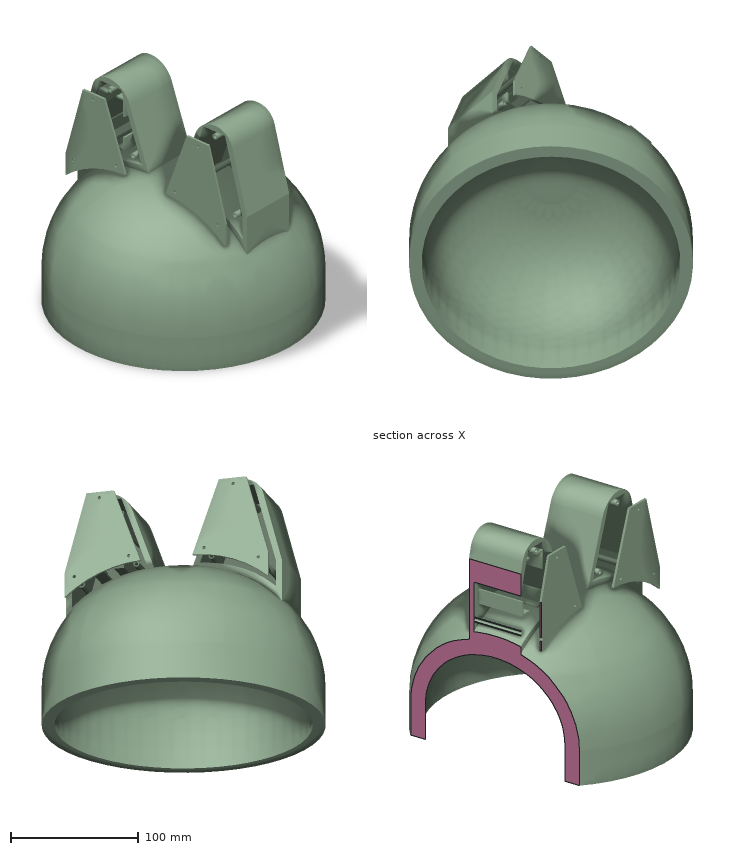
import cadquery as cq
import math

helmet_radius = 111.5
helmet_height = 120.0
band_height = 30.0
helmet_wall = 10.0
dome_radius = helmet_height - band_height

ear_top = 190.0
ear_depth = 50.0
ear_front_y = -ear_depth / 2
ear_outer_x = 88.8
ear_inner_x = 14.7
ear_outer_lean = 15.0
ear_inner_lean = 19.8
ear_outer_round = 17.2
ear_inner_round = 22.7
ear_back_wall = 5.0
pocket_floor = 5.1

panel_top = 184.9
panel_top_inner_x = 43.3
panel_top_outer_x = 65.8
panel_outer_x = 83.8
panel_shoulder_z = 120.0
panel_inner_x = 21.5
panel_inner_z = 124.5

cover_thickness = 2.0
cover_gap = 18.0
cover_front_y = ear_front_y - cover_gap - cover_thickness
cover_outer_z = 100.1
cover_arc_x = 55.0
cover_arc_z = 117.5

screw_places = [(55.0, 180.0), (31.0, 129.1), (75.8, 116.6)]
screw_hole_diameter = 2.7
post_diameter = 5.0

holder_center_x = -56.0
holder_width = 25.0
holder_bottom = 129.5
holder_top = 174.0
holder_recess = 2.7
bracket_wall = 1.5
lower_leg = 11.0
upper_leg = 14.7
outer_flange = 8.3
inner_flange = 6.7


def extrude_back(profile, front_y, depth):
    """Extrude an XZ profile toward +Y, starting at front_y."""
    return profile.extrude(-depth).translate((0, front_y, 0))


def make_dome(growth):
    """Solid helmet form with its outer surface moved outward by growth."""
    radius = helmet_radius + growth
    height = helmet_height + growth
    round_radius = dome_radius + growth
    crown_radius = radius - round_radius
    diagonal = round_radius * math.sqrt(0.5)
    return (
        cq.Workplane("XZ")
        .lineTo(radius, 0)
        .lineTo(radius, band_height)
        .threePointArc((crown_radius + diagonal, band_height + diagonal), (crown_radius, height))
        .lineTo(0, height)
        .close()
        .revolve(360, (0, 0), (0, 1))
    )


def screw_cylinders(side, diameter, front_y, depth):
    places = [(side * x, z) for x, z in screw_places]
    return extrude_back(cq.Workplane("XZ").pushPoints(places).circle(diameter / 2), front_y, depth)


def panel_sides(side):
    """Panel outline from the lower inner corner, over the top, to the outer shoulder."""
    return (
        cq.Workplane("XZ")
        .moveTo(side * panel_inner_x, panel_inner_z)
        .lineTo(side * panel_top_inner_x, panel_top)
        .lineTo(side * panel_top_outer_x, panel_top)
        .lineTo(side * panel_outer_x, panel_shoulder_z)
    )


def make_cover(side):
    outline = (
        panel_sides(side)
        .lineTo(side * panel_outer_x, cover_outer_z)
        .threePointArc((side * cover_arc_x, cover_arc_z), (side * panel_inner_x, panel_inner_z))
        .close()
    )
    cover = extrude_back(outline, cover_front_y, cover_thickness)
    return cover.cut(screw_cylinders(side, screw_hole_diameter, cover_front_y, cover_thickness))


def make_ear_block(side):
    rise = ear_top - helmet_height
    top_outer_x = ear_outer_x - rise * math.tan(math.radians(ear_outer_lean))
    top_inner_x = ear_inner_x + rise * math.tan(math.radians(ear_inner_lean))
    outline = (
        cq.Workplane("XZ")
        .moveTo(side * ear_outer_x, band_height)
        .lineTo(side * ear_outer_x, helmet_height)
        .lineTo(side * top_outer_x, ear_top)
        .lineTo(side * top_inner_x, ear_top)
        .lineTo(side * ear_inner_x, helmet_height)
        .lineTo(side * ear_inner_x, band_height)
        .close()
    )
    block = extrude_back(outline, ear_front_y, ear_depth)
    outer_edge = cq.NearestToPointSelector((side * top_outer_x, 0, ear_top))
    inner_edge = cq.NearestToPointSelector((side * top_inner_x, 0, ear_top))
    return block.edges(outer_edge).fillet(ear_outer_round).edges(inner_edge).fillet(ear_inner_round)


def make_pocket(side):
    """Space inside an ear, open at the front, with a floor that follows the dome."""
    outline = (
        panel_sides(side)
        .lineTo(side * panel_outer_x, band_height)
        .lineTo(side * panel_inner_x, band_height)
        .close()
    )
    pocket = extrude_back(outline, ear_front_y, ear_depth - ear_back_wall)
    return pocket.cut(make_dome(pocket_floor))


def make_ear(side):
    post_length = ear_depth - ear_back_wall
    ear = make_ear_block(side).cut(make_pocket(side))
    ear = ear.union(screw_cylinders(side, post_diameter, ear_front_y, post_length))
    return ear.cut(screw_cylinders(side, screw_hole_diameter, ear_front_y, post_length))


def make_bracket(corner_x, corner_z, flange, leg):
    """L-shaped bracket around one corner of the holder; flange and leg are signed inner lengths."""
    wall_x = math.copysign(bracket_wall, flange)
    wall_z = math.copysign(bracket_wall, leg)
    outline = (
        cq.Workplane("XZ")
        .moveTo(corner_x - wall_x, corner_z - wall_z)
        .lineTo(corner_x + flange, corner_z - wall_z)
        .lineTo(corner_x + flange, corner_z)
        .lineTo(corner_x, corner_z)
        .lineTo(corner_x, corner_z + leg)
        .lineTo(corner_x - wall_x, corner_z + leg)
        .close()
    )
    return extrude_back(outline, ear_front_y + holder_recess, ear_depth - ear_back_wall - holder_recess)


def make_holder_brackets():
    outer_x = holder_center_x - holder_width / 2
    inner_x = holder_center_x + holder_width / 2
    return [
        make_bracket(outer_x, holder_bottom, outer_flange, lower_leg),
        make_bracket(inner_x, holder_bottom, -inner_flange, lower_leg),
        make_bracket(outer_x, holder_top, outer_flange, -upper_leg),
        make_bracket(inner_x, holder_top, -inner_flange, -upper_leg),
    ]


helmet = make_dome(0)
for side in (-1, 1):
    helmet = helmet.union(make_ear(side))
for bracket in make_holder_brackets():
    helmet = helmet.union(bracket)
helmet = helmet.cut(make_dome(-helmet_wall))

covers = [make_cover(side).val() for side in (-1, 1)]

result = cq.Compound.makeCompound([helmet.val(), *covers])